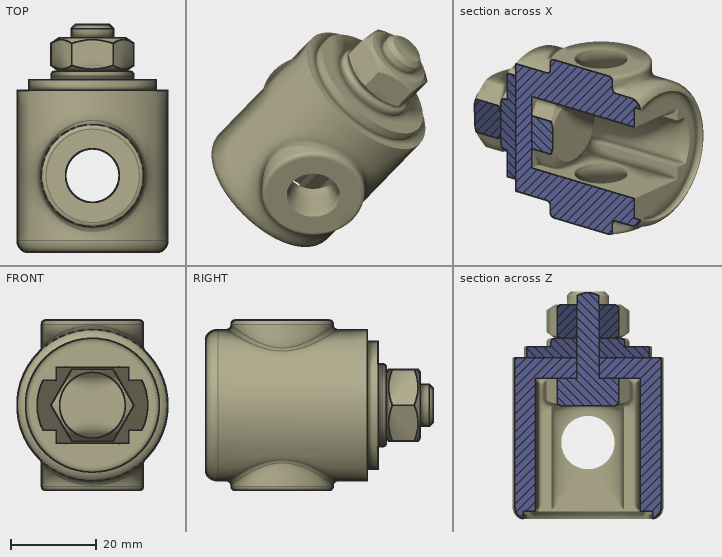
import cadquery as cq


HOUSING_RADIUS = 17.735
HOUSING_LENGTH = 38.15
FRONT_ROUNDING = 3.0
RECESS_RADIUS = 15.75
RECESS_DEPTH = 2.0
REAR_WALL = 5.0

BOSS_RADIUS = 12.0
BOSS_TOP = 20.0
BOSS_ROUNDING = 1.0
BOSS_FILLET = 1.0
CROSS_HOLE_RADIUS = 6.25
PICK_MARGIN = 0.55
CROSS_HOLE_Y = 18.15

SLOT_WIDTH = 17.0
SLOT_HEIGHT = 17.9
WING_RADIUS = 13.0
WING_HEIGHT = 11.75

FLANGE_RADIUS = 15.05
FLANGE_THICKNESS = 2.5
HUB_RADIUS = 9.75
HUB_THICKNESS = 2.0
HUB_ROUNDING = 1.0

BOLT_RADIUS = 5.0
BOLT_PROTRUSION = 3.1
BOLT_CHAMFER = 1.0
HEX_ACROSS_CORNERS = 19.5
HEX_FACE_RADIUS = 7.7
HEX_CORNER_DROP = 1.4
NUT_THICKNESS = 7.9
HEAD_THICKNESS = 6.4

POCKET_END = HOUSING_LENGTH - REAR_WALL
HUB_START = HOUSING_LENGTH + FLANGE_THICKNESS
NUT_START = HUB_START + HUB_THICKNESS
NUT_END = NUT_START + NUT_THICKNESS
BOLT_END = NUT_END + BOLT_PROTRUSION


def cylinder(radius, start, end):
    """Cylinder on the Y axis from y = start to y = end."""
    return cq.Workplane("XZ", origin=(0, start, 0)).circle(radius).extrude(start - end)


def box(width, height, start, end):
    """Box centred on the Y axis from y = start to y = end."""
    return cq.Workplane("XZ", origin=(0, start, 0)).rect(width, height).extrude(start - end)


def chamfered_hexagon(start, end, chamfer_rear):
    """Hexagon prism on the Y axis with conical corner chamfers, points towards +X and -X."""
    corner = HEX_ACROSS_CORNERS / 2
    prism = cq.Workplane("XZ", origin=(0, start, 0)).polygon(6, HEX_ACROSS_CORNERS).extrude(start - end)
    outline = (
        cq.Workplane("XY")
        .moveTo(0, start)
        .lineTo(HEX_FACE_RADIUS, start)
        .lineTo(corner, start + HEX_CORNER_DROP)
    )
    if chamfer_rear:
        outline = outline.lineTo(corner, end - HEX_CORNER_DROP).lineTo(HEX_FACE_RADIUS, end)
    else:
        outline = outline.lineTo(corner, end)
    envelope = outline.lineTo(0, end).close().revolve(360, (0, 0, 0), (0, 1, 0))
    return prism.intersect(envelope)


def make_pocket():
    slot = box(SLOT_WIDTH, SLOT_HEIGHT, 0, POCKET_END)
    wing_bar = box(2 * WING_RADIUS, WING_HEIGHT, 0, POCKET_END)
    wings = cylinder(WING_RADIUS, 0, POCKET_END).intersect(wing_bar)
    return slot.union(wings)


def make_housing():
    barrel = cylinder(HOUSING_RADIUS, 0, HOUSING_LENGTH)
    boss = (
        cq.Workplane("XY", origin=(0, CROSS_HOLE_Y, -BOSS_TOP))
        .circle(BOSS_RADIUS)
        .extrude(2 * BOSS_TOP)
        .faces("<Z or >Z")
        .edges()
        .fillet(BOSS_ROUNDING)
    )
    junctions = cq.selectors.BoxSelector(
        (-BOSS_RADIUS, CROSS_HOLE_Y - PICK_MARGIN, -HOUSING_RADIUS),
        (BOSS_RADIUS, CROSS_HOLE_Y + PICK_MARGIN, HOUSING_RADIUS),
    )
    body = barrel.union(boss).edges(junctions).fillet(BOSS_FILLET)
    body = body.faces("<Y").edges().fillet(FRONT_ROUNDING)

    cross_hole = (
        cq.Workplane("XY", origin=(0, CROSS_HOLE_Y, -BOSS_TOP))
        .circle(CROSS_HOLE_RADIUS)
        .extrude(2 * BOSS_TOP)
    )
    body = body.cut(cylinder(RECESS_RADIUS, 0, RECESS_DEPTH))
    body = body.cut(make_pocket())
    body = body.cut(cross_hole)
    return body.cut(cylinder(BOLT_RADIUS, POCKET_END, HOUSING_LENGTH))


def make_collar():
    flange = cylinder(FLANGE_RADIUS, HOUSING_LENGTH, HUB_START)
    hub = cylinder(HUB_RADIUS, HUB_START, NUT_START).faces(">Y").edges().fillet(HUB_ROUNDING)
    return flange.union(hub).cut(cylinder(BOLT_RADIUS, HOUSING_LENGTH, NUT_START))


def make_nut():
    hexagon = chamfered_hexagon(NUT_START, NUT_END, chamfer_rear=True)
    return hexagon.cut(cylinder(BOLT_RADIUS, NUT_START, NUT_END))


def make_bolt():
    head = chamfered_hexagon(POCKET_END - HEAD_THICKNESS, POCKET_END, chamfer_rear=False)
    shank = cylinder(BOLT_RADIUS, POCKET_END, BOLT_END).faces(">Y").edges().chamfer(BOLT_CHAMFER)
    return head.union(shank)


housing = make_housing()
collar = make_collar()
nut = make_nut()
bolt = make_bolt()

result = cq.Compound.makeCompound(
    [housing.solids().val(), collar.solids().val(), nut.solids().val(), bolt.solids().val()]
)